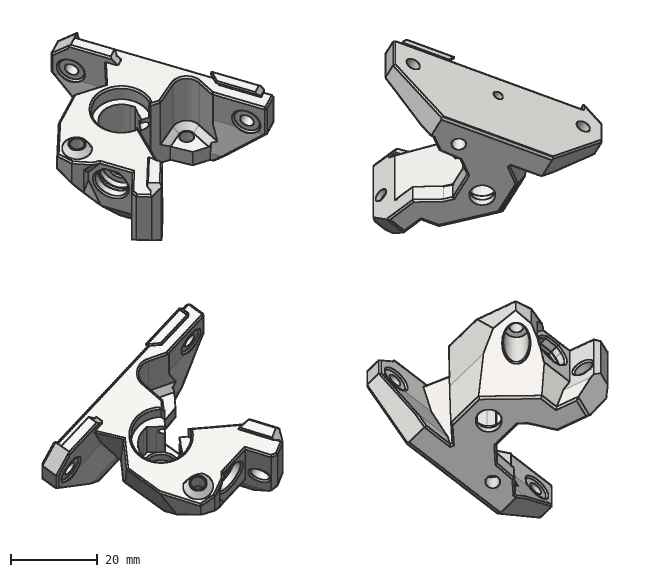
import cadquery as cq
import math

deck = 21.35
crown = 23.3
edge_break = 0.45
reach = 107.2

plate_half = 26.8
plate_thick = 4.95
foot_thick = 6.65
foot_half = 14.2
flare_top = 12.45
flare_bottom = 2.8
screw_x = 21.8
screw_z = 15.0
screw_dia = 3.4
spot_dia = 6.25

rim_left_x = -22.0
rim_right_x = -12.05
rim_back = -2.15
lip_drop = 0.5
lip_bevel = 0.3
lip_inset = 0.95

inner_x = 1.45
bore_x, bore_y = -4.3, -17.4
bore_dia = 13.95
bore_floor = 17.25
bore_end_x = 1.1
inner_dia = 10.7
shelf = 5.0
bearing_dia = 8.2
bearing_floor = 1.9
shaft_dia = 6.0

front_y = -34.7
front_z = 14.95
front_depth = 4.8
groove_start = 2.35
groove_width = 0.9
groove_depth = 0.25
front_hole_dia = 4.2
front_hole_depth = 6.45
pin_dia = 2.4

arm_angle = 20
arm_width = 6.85
arm_root = 27.55
arm_tip = 41.95
arm_hole_along = 37.9
arm_hole_z = 10.45
arm_hole_dia = 4.7
arm_hole_depth = 5.3

corner_x, corner_y = -9.25, -32.6
boss_top = 22.8
boss_base_dia = 6.95
head_dia = 6.0
head_ceiling = 18.2
head_edge = 0.3

pocket_x, pocket_y = 7.35, -5.8
pocket_radius = 3.6
pocket_cone = 1.65


def prism(points, bottom, top):
    """Vertical prism over a polygon."""
    return cq.Workplane("XY").workplane(offset=bottom).polyline(points).close().extrude(top - bottom)


def deck_prism(points):
    """Full height prism with its deck edge broken."""
    return prism(points, 0, deck).faces(">Z").chamfer(edge_break)


def outside(point, normal):
    """Block that fills everything on the outer side of a plane."""
    plane = cq.Plane(origin=point, normal=normal)
    return cq.Workplane(plane).rect(2 * reach, 2 * reach).extrude(reach)


def cylinder(x, y, dia, bottom, top):
    return cq.Workplane("XY").workplane(offset=bottom).center(x, y).circle(dia / 2).extrude(top - bottom)


def cone(plane, dia, depth):
    """45 degree countersink that narrows along the plane normal."""
    return cq.Workplane(plane).circle(dia / 2).extrude(depth, taper=45)


def flared_rim(outline):
    """45 degree chamfer cutter that widens an outline at the deck edge."""
    return outline.extrude(2 * edge_break, taper=-45).translate((0, 0, deck - edge_break))


def along_arm(distance, across):
    """Point given by its distance along the arm and its offset to the arm's right face."""
    a = math.radians(arm_angle)
    return (
        distance * math.sin(a) + across * math.cos(a),
        -distance * math.cos(a) + across * math.sin(a),
    )


def is_crease(box):
    """True for a level edge in the lower part of the plate."""
    return box.zmax - box.zmin < 0.05 and box.zmax < flare_top + 0.05 and box.ymax < -plate_thick / 2


def make_plate():
    corner_drop = plate_half + rim_left_x
    shoulder = crown - corner_drop
    outline = [
        (-foot_half, 0),
        (foot_half, 0),
        (plate_half, flare_top),
        (plate_half, deck - edge_break),
        (plate_half - edge_break, deck),
        (rim_left_x + edge_break, deck),
        (rim_left_x, crown),
        (-plate_half, shoulder),
        (-plate_half, flare_top),
    ]
    side = [
        (0, 0),
        (-foot_thick, 0),
        (-foot_thick, flare_bottom),
        (-plate_thick, flare_top),
        (-plate_thick, crown),
        (0, crown),
    ]
    slab = cq.Workplane("XZ").polyline(outline).close().extrude(foot_thick)
    shape = cq.Workplane("YZ").polyline(side).close().extrude(plate_half, both=True)
    plate = slab.intersect(shape)
    rims = plate.edges("not |Y").filter(lambda edge: not is_crease(edge.BoundingBox()))
    plate = rims.chamfer(edge_break)
    return plate.faces("<Z").edges("|X").chamfer(edge_break)


def make_neck():
    root = (-13.5, -plate_thick)
    waist = (-10.55, -11.6)
    outline = [
        (-14.7, -2.25), waist, (-7.35, -18.75), (inner_x, -18.75), (inner_x, -13.5),
        (4.95, -10.0), (10.4, -9.7), (13.6, -6.55), (13.6, -2.25),
    ]
    neck_lean = 15
    run_x, run_y = waist[0] - root[0], waist[1] - root[1]
    length = math.hypot(run_x, run_y)
    lean = math.tan(math.radians(neck_lean))
    left = outside((*root, deck), (run_y / length, -run_x / length, -lean))
    return deck_prism(outline).cut(left)


def make_head():
    left_x = -16.3
    outline = [
        (-5.2, -5.9), (left_x, -17.0), (left_x, -26.55), (-12.8, -36.3), (-8.75, -37.2),
        (-4.2, -35.85), (-2.75, front_y), (6.45, front_y), along_arm(33.2, 0), along_arm(arm_root, 0),
        (3.2, -22.7), (inner_x, -21.1), (inner_x, -5.9),
    ]
    head = deck_prism(outline)
    knee_z = 8.65
    knee_x = -13.9
    foot_x = -10.15
    head = head.cut(outside((left_x, 0, deck), (knee_z - deck, 0, left_x - knee_x)))
    head = head.cut(outside((knee_x, 0, knee_z), (-knee_z, 0, knee_x - foot_x)))
    slant_turn = math.radians(47.4)
    slant_tilt = math.radians(38.9)
    slant_normal = (-math.cos(slant_turn), -math.sin(slant_turn), -math.tan(slant_tilt))
    head = head.cut(outside((0.7, -30.35, 0), slant_normal))
    slope_top = 6.7
    slope_foot_y = -30.3
    head = head.cut(outside((0, slope_foot_y, 0), (0, -slope_top, front_y - slope_foot_y)))
    head = head.cut(cylinder(corner_x, corner_y, head_dia, 0, head_ceiling))
    return head.edges("%ELLIPSE").chamfer(head_edge)


def arm_outline():
    return [
        along_arm(arm_root, 0), along_arm(arm_root, -arm_width), along_arm(40.8, -arm_width),
        along_arm(arm_tip, -5.75), along_arm(arm_tip, -2.15), along_arm(40.4, 0),
    ]


def make_arm():
    arm = deck_prism(arm_outline())
    ahead_x, ahead_y = along_arm(1, 0)
    right_x, right_y = along_arm(0, 1)
    slope_foot = 35.75
    facet_top = 4.4
    facet_lean = 0.3
    arm = arm.cut(outside((*along_arm(slope_foot, 0), 0), (ahead_x, ahead_y, -1)))
    arm = arm.cut(outside((*along_arm(0, -arm_width), facet_top), (-right_x, -right_y, -facet_lean)))
    return arm


def bore_cut():
    """Open bearing bore with its stepped floor, from the deck down through the bottom."""
    apex_x = bore_x + 1.75
    far_x = 21.45
    back_x, back_y = 4.4, -11.0
    opening = [(apex_x, bore_y), (back_x, back_y), (far_x, back_y), (far_x, bore_y - (far_x - apex_x))]
    tool = prism(opening, shelf, deck)
    tool = tool.union(flared_rim(cq.Workplane("XY").polyline(opening).close()))
    bore = cylinder(bore_x, bore_y, bore_dia, bore_floor, deck)
    bore = bore.union(flared_rim(cq.Workplane("XY").center(bore_x, bore_y).circle(bore_dia / 2)))
    tool = tool.union(bore.cut(outside((bore_end_x, 0, 0), (1, 0, 0))))
    outer_x, bend_x, end_x = -10.7, -4.55, -0.4
    half_wide, half_end = 7.25, 2.15
    recess = [
        (outer_x, bore_y + half_wide), (bend_x, bore_y + half_wide), (end_x, bore_y + half_end),
        (end_x, bore_y - half_end), (bend_x, bore_y - half_wide), (outer_x, bore_y - half_wide),
    ]
    inner = cylinder(bore_x, bore_y, inner_dia, shelf, deck)
    square = cq.Workplane("XY").center(bore_x + inner_dia / 4, bore_y).rect(inner_dia / 2, inner_dia)
    inner = inner.union(square.extrude(deck - shelf).translate((0, 0, shelf)))
    tool = tool.union(inner.intersect(prism(recess, shelf, deck)))
    seat_dia = bearing_dia + 2 * edge_break
    tool = tool.union(cylinder(bore_x, bore_y, seat_dia, shelf, deck))
    tool = tool.union(cylinder(bore_x, bore_y, bearing_dia, bearing_floor, deck))
    seat = cq.Plane(origin=(bore_x, bore_y, shelf), normal=(0, 0, -1))
    tool = tool.union(cone(seat, seat_dia, edge_break))
    return tool.union(cylinder(bore_x, bore_y, shaft_dia, 0, deck))


def pocket_outline():
    """Round end about the screw with two straight walls that run out of the part."""
    left = math.radians(174.7)
    right = math.radians(61)
    left_run, right_run = 11.8, 17.15
    middle = (left + right) / 2

    def wall_point(angle, slide):
        return (
            pocket_x + pocket_radius * math.cos(angle) + slide * math.sin(angle),
            pocket_y + pocket_radius * math.sin(angle) - slide * math.cos(angle),
        )

    return (
        cq.Workplane("XY").moveTo(*wall_point(left, -left_run)).lineTo(*wall_point(left, 0))
        .threePointArc(wall_point(middle, 0), wall_point(right, 0))
        .lineTo(*wall_point(right, right_run)).close()
    )


def pocket_cut():
    cone_top = shelf + pocket_cone
    upper = pocket_outline().extrude(deck - cone_top).translate((0, 0, cone_top))
    lower = pocket_outline().extrude(-pocket_cone, taper=45).translate((0, 0, cone_top))
    tool = upper.union(lower).union(flared_rim(pocket_outline()))
    return tool.union(cylinder(pocket_x, pocket_y, screw_dia, 0, deck))


def screw_cut(x):
    """Plate screw hole with a shallow conical spot face."""
    mouth = cq.Plane(origin=(x, -plate_thick, screw_z), xDir=(1, 0, 0), normal=(0, 1, 0))
    hole = cq.Workplane(mouth).circle(screw_dia / 2).extrude(plate_thick)
    clearance = cq.Workplane(mouth).circle(spot_dia / 2 + edge_break).extrude(-plate_thick)
    return hole.union(cone(mouth, spot_dia + 2 * edge_break, edge_break)).union(clearance)


def make_rim():
    """Rim with a grooved back that runs on from the raised left end of the plate."""
    low = deck - 2.7
    end_x = rim_right_x + crown - deck
    profile = [
        (rim_left_x - edge_break, low), (rim_left_x - edge_break, crown - edge_break), (rim_left_x, crown),
        (rim_right_x, crown), (end_x, deck), (end_x, low),
    ]
    groove_y, groove_drop = rim_back - 0.85, 1.05
    back_foot = rim_back - 0.65
    section = [
        (rim_back, crown), (groove_y, crown - groove_drop), (back_foot, deck), (back_foot, low),
        (-plate_thick, low), (-plate_thick, crown - edge_break), (edge_break - plate_thick, crown),
    ]
    rim = cq.Workplane("XZ").polyline(profile).close().extrude(plate_thick)
    rim = rim.intersect(cq.Workplane("YZ").polyline(section).close().extrude(-plate_half))
    return rim.cut(outside((end_x - edge_break, -plate_thick, 0), (1, -1, 0)))


def make_plate_tongue():
    left_x, front, corner = 11.25, -2.95, 2.25
    beyond = 5.35
    outline = [
        (left_x, beyond), (left_x, front + corner), (left_x + corner, front),
        (plate_half + beyond, front), (plate_half + beyond, beyond),
    ]
    lip_z = crown - lip_drop
    slant = math.degrees(math.atan2(lip_bevel, lip_drop))

    def lip_line():
        return cq.Workplane("XY").polyline(outline).close()

    tongue = lip_line().extrude(lip_drop, taper=slant)
    tongue = tongue.union(lip_line().extrude(-lip_inset, taper=45))
    tongue = tongue.union(lip_line().offset2D(-lip_inset, "intersection").extrude(deck - lip_z))
    tongue = tongue.translate((0, 0, lip_z))
    slope_x, end_x = 23.15, 24.35
    end_corner = 0.7
    tongue = tongue.cut(outside((slope_x, 0, crown), (lip_drop + lip_inset, 0, end_x - slope_x)))
    tongue = tongue.cut(outside((end_x, 0, 0), (1, 0, 0)))
    tongue = tongue.cut(outside((slope_x, front, 0), (end_corner, slope_x - end_x, 0)))
    tongue = tongue.cut(outside((0, 0, 0), (0, 1, 0)))
    return tongue.cut(outside((0, -edge_break, crown), (0, 1, 1)))


def make_arm_tongue():
    lip = -3.4
    foot = lip + lip_inset
    section = [
        (lip + lip_bevel, crown), (lip, crown - lip_drop), (foot, crown - lip_drop - lip_inset),
        (foot, deck - edge_break), (0, deck - edge_break), (0, crown - edge_break), (-edge_break, crown),
    ]
    right_x, right_y = along_arm(0, 1)
    ahead_x, ahead_y = along_arm(1, 0)
    plane = cq.Plane(origin=(0, 0, 0), xDir=(right_x, right_y, 0), normal=(ahead_x, ahead_y, 0))
    tongue = cq.Workplane(plane).polyline(section).close().extrude(arm_tip)
    back_corner = (7.65, -30.75, 0)
    slope_start = 39.65
    tongue = tongue.cut(outside(back_corner, (0.11, 1, 0)))
    tongue = tongue.cut(outside((*along_arm(slope_start, 0), crown), (ahead_x, ahead_y, 1)))
    return tongue.intersect(prism(arm_outline(), 0, crown))


def make_boss():
    base = cq.Workplane("XY").workplane(offset=deck).center(corner_x, corner_y)
    boss = base.circle(boss_base_dia / 2).extrude(boss_top - deck, taper=45)
    flat_point = (-8.4, -30.35, 0)
    return boss.cut(outside(flat_point, (0.33, 1, 0)))


def corner_cut():
    """Vertical screw hole through the boss into the head recess."""
    return cylinder(corner_x, corner_y, screw_dia, 0, crown)


def printable_bore(radius, y):
    """Bore along Y with a flat top carried by two 45 degree flats."""
    plane = cq.Plane(origin=(0, y, front_z), xDir=(1, 0, 0), normal=(0, -1, 0))
    tangent = radius * math.sqrt(0.5)
    flat = radius * math.tan(math.pi / 8)
    return (
        cq.Workplane(plane).moveTo(-tangent, tangent).lineTo(-flat, radius).lineTo(flat, radius)
        .lineTo(tangent, tangent).threePointArc((0, -radius), (-tangent, tangent)).close()
    )


def front_cut():
    """Stepped front bore with a ring groove, a conical hole end and a pin hole through the back."""
    floor_y = front_y + front_depth
    radius = bearing_dia / 2
    tool = printable_bore(radius, front_y).extrude(-front_depth)
    tool = tool.union(printable_bore(radius + edge_break, front_y).extrude(-edge_break, taper=45))
    groove = printable_bore(radius + groove_depth, front_y + groove_start).extrude(-groove_width)
    tool = tool.union(groove)
    axis = {"xDir": (1, 0, 0), "normal": (0, 1, 0)}
    floor = cq.Plane(origin=(0, floor_y, front_z), **axis)
    tool = tool.union(cq.Workplane(floor).circle(front_hole_dia / 2).extrude(front_hole_depth))
    tool = tool.union(cone(floor, front_hole_dia + 2 * edge_break, edge_break))
    hole_end = cq.Plane(origin=(0, floor_y + front_hole_depth, front_z), **axis)
    tool = tool.union(cone(hole_end, front_hole_dia, (front_hole_dia - pin_dia) / 2))
    return tool.union(cq.Workplane(floor).circle(pin_dia / 2).extrude(-floor_y))


def front_relief():
    """Slanted clearance beside the front bore."""
    near = [(2.7, 21.6), (-2.3, 21.6), (-5.65, 16.8), (-5.65, 14.1), (-2.15, 5.85), (2.7, 5.85)]
    far = [(2.7, 22.65), (-3.9, 22.65), (-6.2, 19.2), (-6.2, 11.05), (-3.7, 5.15), (2.7, 5.15)]
    depth = 1.95
    plane = cq.Workplane("XZ", origin=(0, front_y, 0))
    return plane.polyline(near).close().workplane(offset=depth).polyline(far).close().loft(ruled=True)


def arm_hole_cut():
    """Stepped hole straight through the arm from its left face."""
    right = (*along_arm(0, 1), 0)
    mouth = cq.Plane(origin=(*along_arm(arm_hole_along, -arm_width), arm_hole_z), normal=right)
    hole = cq.Workplane(mouth).circle(arm_hole_dia / 2).extrude(arm_hole_depth)
    hole = hole.union(cone(mouth, arm_hole_dia + 2 * edge_break, edge_break))
    return hole.union(cq.Workplane(mouth).circle(screw_dia / 2).extrude(arm_width))


result = make_plate()
for part in (make_neck(), make_head(), make_arm()):
    result = result.union(part.faces("<Z").chamfer(edge_break))
for part in (make_rim(), make_plate_tongue(), make_arm_tongue(), make_boss()):
    result = result.union(part)
for tool in (
    bore_cut(), pocket_cut(), screw_cut(-screw_x), screw_cut(screw_x), corner_cut(),
    front_cut(), front_relief(), arm_hole_cut(),
):
    result = result.cut(tool)